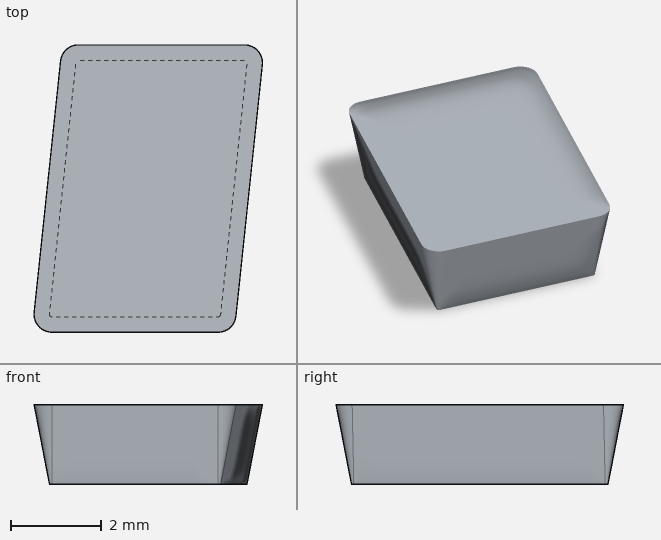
import cadquery as cq
import math

width = 5.05
length = 6.35
thickness = 1.76
corner_radius = 0.4
skew_angle = 6.0
clearance_angle = 11.0

centre_y = length / 2 - corner_radius
skew_shift = centre_y * math.tan(math.radians(skew_angle))
centre_x = width / 2 - corner_radius - skew_shift
corner_centres = [
    (-centre_x - skew_shift, -centre_y),
    (centre_x - skew_shift, -centre_y),
    (centre_x + skew_shift, centre_y),
    (-centre_x + skew_shift, centre_y),
]


def rounded_outline(z, radius):
    """Outline at height z, with its corners rounded about the corner centres."""
    return cq.Workplane("XY", origin=(0, 0, z)).polyline(corner_centres).close().offset2D(radius).val()


base_radius = corner_radius - thickness * math.tan(math.radians(clearance_angle))
base_outline = rounded_outline(0, base_radius)
top_outline = rounded_outline(thickness, corner_radius)
result = cq.Workplane(obj=cq.Solid.makeLoft([base_outline, top_outline], True))